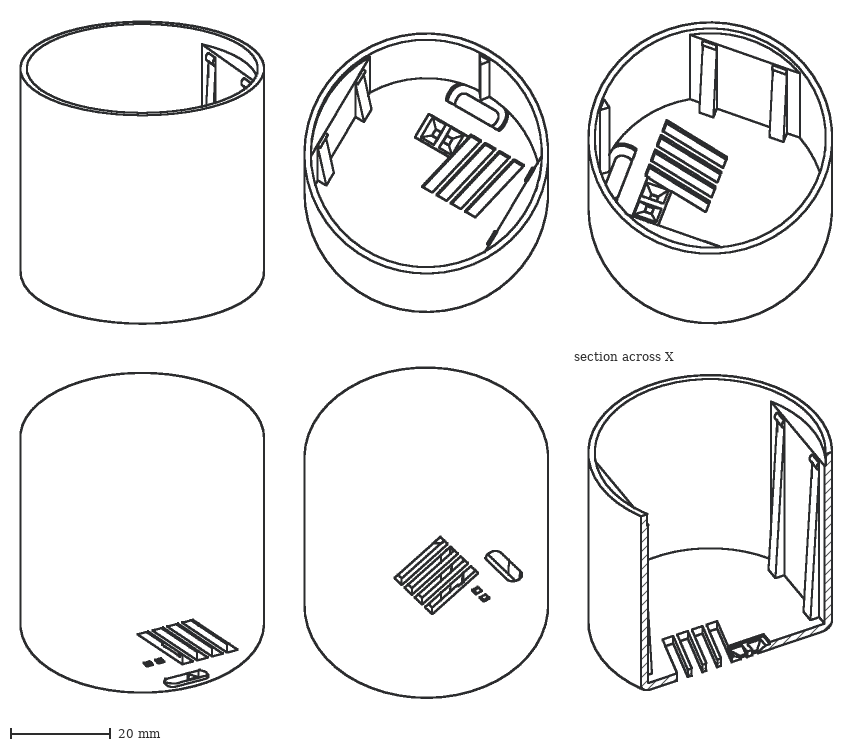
import cadquery as cq
import math

outer_diameter = 49.0
inner_diameter = 46.4
height = 46.0
floor = 2.0
bottom_fillet = 2.0
outer_radius = outer_diameter / 2
inner_radius = inner_diameter / 2
wall_middle_radius = (inner_radius + outer_radius) / 2

lip_depth = 3.0
fitting_top = height - lip_depth
flat_y = 20.0

rib_width = 3.0
rib_center_x = 7.5
rib_reach = 2.0
bump_radius = 1.0
bump_setback = 0.4
bump_z = 41.2
bump_half_chord = math.sqrt(bump_radius**2 - bump_setback**2)
rib_top = bump_z - bump_half_chord

key_tip_x = 21.6
key_half_width = 1.2

vent_count = 4
vent_left = 0.5
vent_width = 14.1
vent_height = 2.4
vent_pitch = 3.33
vent_slant = 12.5
vent_first_y = 1.3
vent_drop = vent_width * math.tan(math.radians(vent_slant))

recess_left = 8.5
recess_right = 14.0
recess_length = 9.2
recess_depth = 0.5
socket_x = 11.5
socket_y = 3.0
web_half = 0.6
funnel_width = 4.75
funnel_length = 3.0
funnel_depth = 1.0
pin_width = 1.5
pin_length = 1.35

slot_left = 18.15
slot_right = key_tip_x
slot_length = 9.2
slot_corner = 1.4
slot_flare = 1.5
slot_ledge = 0.4
slot_ledge_depth = 0.2
slot_width = slot_right - slot_left
slot_center_x = (slot_left + slot_right) / 2
slot_center_y = -0.15


def make_cylinder(bottom, radius, top):
    return cq.Workplane("XY").workplane(offset=bottom).circle(radius).extrude(top - bottom)


def make_cup():
    body = make_cylinder(0, outer_radius, height)
    body = body.faces("<Z").edges().fillet(bottom_fillet)
    return body.cut(make_cylinder(floor, inner_radius, height))


def make_pad():
    """Circular segment between the +Y flat and the middle of the wall."""
    disc = make_cylinder(floor, wall_middle_radius, fitting_top)
    keep = cq.Workplane("XY").box(outer_diameter, outer_radius, fitting_top, centered=(True, False, False))
    return disc.intersect(keep.translate((0, flat_y, 0)))


def make_rib(center_x):
    """Wedge that widens toward the floor, with its bump, on the +Y pad."""
    start = center_x - rib_width / 2
    plane = cq.Workplane("YZ").workplane(offset=start)
    wedge = (
        plane.moveTo(flat_y, floor)
        .lineTo(flat_y - rib_reach, floor)
        .lineTo(flat_y, rib_top)
        .close()
        .extrude(rib_width)
    )
    bump = (
        plane.moveTo(flat_y, bump_z - bump_half_chord)
        .threePointArc(
            (flat_y + bump_setback - bump_radius, bump_z),
            (flat_y, bump_z + bump_half_chord),
        )
        .close()
        .extrude(rib_width)
    )
    return wedge.union(bump)


def make_side_fittings():
    fittings = make_pad()
    for center_x in (-rib_center_x, rib_center_x):
        fittings = fittings.union(make_rib(center_x))
    return fittings.union(fittings.mirror("XZ"))


def make_key():
    wall_x = math.sqrt(inner_radius**2 - key_half_width**2)
    return (
        cq.Workplane("XY")
        .workplane(offset=floor)
        .moveTo(key_tip_x, 0)
        .lineTo(wall_x, -key_half_width)
        .lineTo(wall_middle_radius, 0)
        .lineTo(wall_x, key_half_width)
        .close()
        .extrude(fitting_top - floor)
    )


def make_vent(index):
    top_y = vent_first_y - index * vent_pitch
    right = vent_left + vent_width
    return (
        cq.Workplane("XY")
        .moveTo(vent_left, top_y)
        .lineTo(right, top_y - vent_drop)
        .lineTo(right, top_y - vent_drop - vent_height)
        .lineTo(vent_left, top_y - vent_height)
        .close()
        .extrude(floor)
    )


def make_funnel(side):
    """Funnel and pin hole on one side of the web; the wall at the web is vertical."""
    web_y = socket_y + side * web_half
    recess_floor = floor - recess_depth
    pin_y = web_y + side * pin_length / 2
    mouth_y = web_y + side * funnel_length / 2
    pin_hole = cq.Workplane("XY").center(socket_x, pin_y).rect(pin_width, pin_length).extrude(floor)
    funnel = (
        cq.Workplane("XY")
        .workplane(offset=recess_floor - funnel_depth)
        .center(socket_x, pin_y)
        .rect(pin_width, pin_length)
        .workplane(offset=funnel_depth)
        .center(0, mouth_y - pin_y)
        .rect(funnel_width, funnel_length)
        .loft(ruled=True)
    )
    return pin_hole.union(funnel)


def make_socket():
    recess_width = recess_right - recess_left
    recess = (
        cq.Workplane("XY")
        .workplane(offset=floor - recess_depth)
        .center((recess_left + recess_right) / 2, socket_y)
        .rect(recess_width, recess_length)
        .extrude(recess_depth)
    )
    return recess.union(make_funnel(1)).union(make_funnel(-1))


def slot_sketch(growth):
    """Slot outline grown outward by the given distance."""
    return (
        cq.Sketch()
        .rect(slot_width + 2 * growth, slot_length + 2 * growth)
        .vertices()
        .fillet(slot_corner + growth)
    )


def make_slot():
    ledge_z = floor - slot_ledge_depth
    center = (slot_center_x, slot_center_y, 0)
    flare = (
        cq.Workplane("XY")
        .placeSketch(slot_sketch(0), slot_sketch(slot_flare).moved(cq.Location(cq.Vector(0, 0, ledge_z))))
        .loft()
    )
    ledge = (
        cq.Workplane("XY")
        .workplane(offset=ledge_z)
        .placeSketch(slot_sketch(slot_flare + slot_ledge))
        .extrude(slot_ledge_depth)
    )
    keep = cq.Workplane("XY").box(outer_radius, outer_diameter, floor, centered=(False, True, False))
    cutter = flare.union(ledge).translate(center)
    return cutter.intersect(keep.translate((slot_left, 0, 0))).intersect(make_cylinder(0, inner_radius, floor))


result = make_cup().cut(make_socket()).cut(make_slot())
for vent_index in range(vent_count):
    result = result.cut(make_vent(vent_index))
result = result.union(make_side_fittings()).union(make_key())